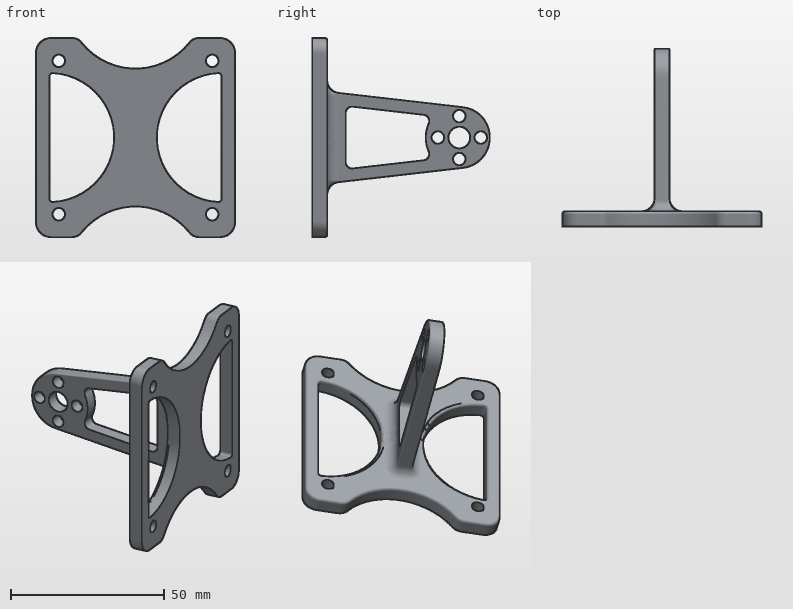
import cadquery as cq
import math

plate_size = 65.0
plate_thickness = 5.0
plate_corner_radius = 5.0
plate_edge_radius = 1.0
mount_hole_diameter = 4.0
mount_hole_pitch = 50.0

scallop_radius = 22.5
scallop_center_z = 45.0
scallop_corner_radius = 4.0

window_radius = 21.0
window_flat_x = 28.0
window_corner_radius = 1.0

arm_thickness = 5.0
arm_root_half_width = 15.0
arm_edge_radius = 0.5
root_fillet_radius = 4.0
selection_margin = 0.1
hub_radius = 10.0
hub_y = 48.0
hub_bore_diameter = 7.0
hub_hole_diameter = 4.0
hub_hole_circle_radius = 7.0
hub_hole_count = 4

opening_root_y = 11.0
opening_rim = 4.0
opening_hub_radius = 11.0
opening_corner_radius = 2.0

root_to_hub = hub_y - plate_thickness
root_corner_distance = math.hypot(root_to_hub, arm_root_half_width)
root_corner_angle = math.atan2(arm_root_half_width, root_to_hub)
taper_angle = root_corner_angle - math.asin(hub_radius / root_corner_distance)


def side_half_width(y, inset=0.0):
    """Half width of the arm at y, measured to a line set in from the arm side."""
    return (hub_radius - inset) / math.cos(taper_angle) + (hub_y - y) * math.tan(taper_angle)


def arm_face_plane():
    """Sketch plane (Y, Z) on the -X face of the arm."""
    return cq.Workplane("YZ").workplane(offset=-arm_thickness / 2)


def plate_prism(sketch):
    """Extrude an XZ outline from y = 0 through the plate thickness, toward +Y."""
    return sketch.extrude(-plate_thickness)


def arm_prism(sketch):
    """Extrude a YZ outline from the -X arm face through the arm thickness."""
    return sketch.extrude(arm_thickness)


def make_plate():
    half = plate_size / 2
    plate = plate_prism(cq.Workplane("XZ").rect(plate_size, plate_size))
    plate = plate.edges("|Y").fillet(plate_corner_radius)

    scallop_centers = [(0, scallop_center_z), (0, -scallop_center_z)]
    scallops = plate_prism(cq.Workplane("XZ").pushPoints(scallop_centers).circle(scallop_radius))
    plate = plate.cut(scallops)
    corner_x = math.sqrt(scallop_radius**2 - (scallop_center_z - half) ** 2)
    for x in (-corner_x, corner_x):
        for z in (-half, half):
            corner = cq.selectors.NearestToPointSelector((x, plate_thickness / 2, z))
            plate = plate.edges(corner).fillet(scallop_corner_radius)

    for side in (-1, 1):
        plate = plate.cut(make_plate_window(side))
    return plate.faces(">Y").edges().fillet(plate_edge_radius)


def make_plate_window(side):
    flat_x = side * window_flat_x
    window = plate_prism(
        cq.Workplane("XZ")
        .moveTo(flat_x, -window_radius)
        .threePointArc((flat_x - side * window_radius, 0), (flat_x, window_radius))
        .close()
    )
    return window.edges("|Y").fillet(window_corner_radius)


def make_mount_holes():
    return plate_prism(
        cq.Workplane("XZ")
        .rect(mount_hole_pitch, mount_hole_pitch, forConstruction=True)
        .vertices()
        .circle(mount_hole_diameter / 2)
    )


def make_arm():
    tangent_y = hub_y + hub_radius * math.sin(taper_angle)
    tangent_z = hub_radius * math.cos(taper_angle)
    arm = arm_prism(
        arm_face_plane()
        .moveTo(plate_thickness, -arm_root_half_width)
        .lineTo(tangent_y, -tangent_z)
        .threePointArc((hub_y + hub_radius, 0), (tangent_y, tangent_z))
        .lineTo(plate_thickness, arm_root_half_width)
        .close()
    )
    rim_edges = arm.faces("<X or >X").edges("not <Y")
    return rim_edges.fillet(arm_edge_radius)


def make_arm_opening():
    root_z = side_half_width(opening_root_y, opening_rim)
    hub_z = side_half_width(hub_y, opening_rim)
    opening = arm_prism(
        arm_face_plane()
        .polyline([(opening_root_y, -root_z), (hub_y, -hub_z), (hub_y, hub_z), (opening_root_y, root_z)])
        .close()
    )
    hub_rim = arm_prism(arm_face_plane().center(hub_y, 0).circle(opening_hub_radius))
    return opening.cut(hub_rim).edges("|X").fillet(opening_corner_radius)


def make_hub_holes():
    hub = arm_face_plane().center(hub_y, 0)
    bore = arm_prism(hub.circle(hub_bore_diameter / 2))
    hole_centers = hub.polarArray(hub_hole_circle_radius, 0, 360, hub_hole_count)
    ring = arm_prism(hole_centers.circle(hub_hole_diameter / 2))
    return bore.union(ring)


def join_with_root_fillet(plate, arm):
    """Join arm and plate, then round the whole loop of edges where they meet."""
    reach_x = arm_thickness / 2 + selection_margin
    reach_z = arm_root_half_width + selection_margin
    root_loop = cq.selectors.BoxSelector(
        (-reach_x, plate_thickness - selection_margin, -reach_z),
        (reach_x, plate_thickness + selection_margin, reach_z),
    )
    return plate.union(arm).edges(root_loop).fillet(root_fillet_radius)


body = join_with_root_fillet(make_plate(), make_arm())
result = body.cut(make_mount_holes()).cut(make_arm_opening()).cut(make_hub_holes())